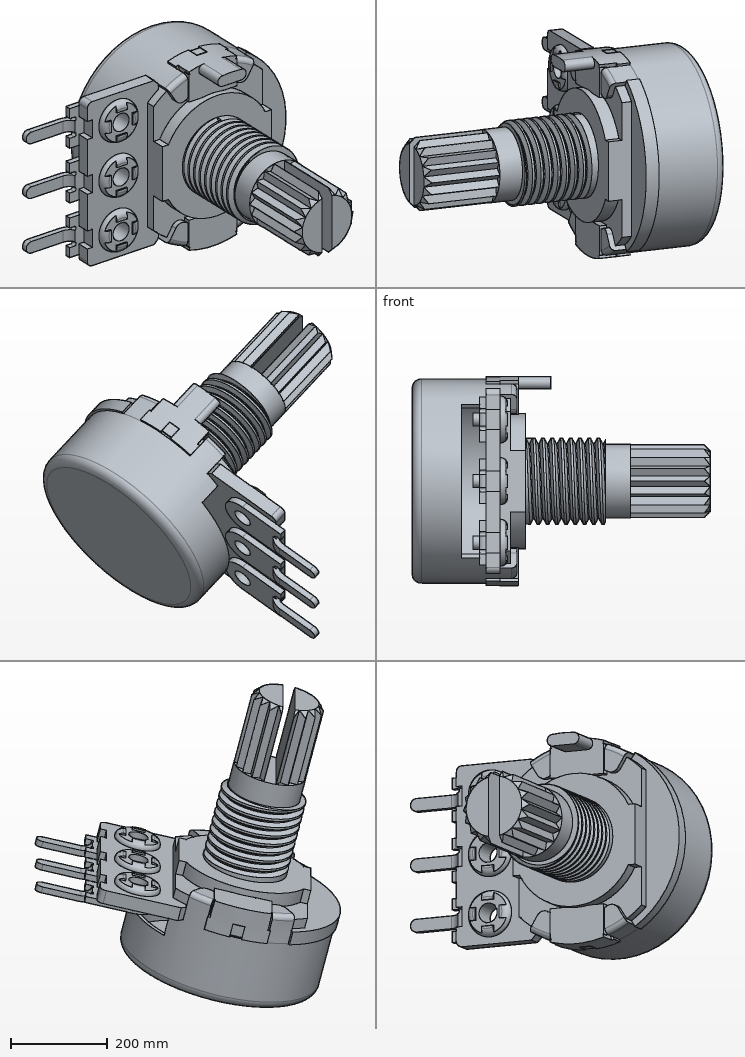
import cadquery as cq
import math


CUP_RADIUS = 210.8
CUP_WALL = 10.2
CUP_INNER_RADIUS = CUP_RADIUS - CUP_WALL
CUP_EDGE_FILLET = 19.05
CUP_DEPTH = 152.4
WINDOW_START_X = 101.6
WINDOW_HALF_ANGLE = 48.6

BOARD_THICKNESS = 29.2
BOARD_FRONT_X = CUP_DEPTH + BOARD_THICKNESS
RIM_RADIUS = 215.9
BOARD_HALF_HEIGHT = 190.5
BOARD_END_Y = -294.0
BOARD_START_Y = -111.5
BOARD_CHAMFER = 11.0
BOARD_FILLET = 12.7
BOARD_NOTCH_WIDTH = 41.7
BOARD_NOTCH_DEPTH = 12.7

TAB_INNER_ANGLE = 18
TAB_OUTER_ANGLE = 32
TAB_FRONT_X = 215.9
TAB_FOLD_INNER_RADIUS = 157.0
TAB_FOLD_FILLET = 11.5
TAB_CORNER_FILLET = 18.0

COVER_FRONT_X = 203.2
COVER_HALF_WIDTH = 139.7
FLANGE_RADIUS = 139.7
FLANGE_FRONT_X = 233.7
FLANGE_FLAT_HEIGHT = 127.0

BRACKET_HALF_ANGLE = TAB_INNER_ANGLE
BRACKET_NECK_HALF_ANGLE = 16.5
BRACKET_FRONT_X = 219.7
BRACKET_LEG_BOTTOM_Z = 137.2
NUB_WIDTH = 25.4
NUB_TOP_Z = 214.6
NUB_GAP = 3.8
LUG_END_X = 285.8
LUG_WIDTH = 72.6
LUG_THICKNESS = 25.9

THREAD_RADIUS = 88.9
THREAD_DEPTH = 11.0
THREAD_PITCH = 19.05
GROOVE_ROOT_WIDTH = 2.5
GROOVE_TOP_WIDTH = 14.0
THREAD_START_X = 241.1
BUSHING_END_X = 398.8

SHAFT_RADIUS = 76.2
SPLINE_START_X = 449.6
SHAFT_END_X = 614.68
SPLINE_COUNT = 18
SPLINE_ROOT_RADIUS = 63.5
SHAFT_CHAMFER = 12.7
SHAFT_SLOT_WIDTH = 25.4

TERMINAL_PITCH = 127.0
TERMINAL_COUNT = 3
TERMINAL_Y = -215.9
TERMINAL_WIDTH = 92.0
TERMINAL_THICKNESS = 13.3
TERMINAL_END_Y = -317.5
TERMINAL_NOTCH_WIDTH = 45.7
TERMINAL_NOTCH_Y = -301.2
PIN_WIDTH = 27.0
PIN_END_Y = -419.1
PIN_BEND_START_Y = -296.5
PIN_BEND_END_Y = -325.1
RIVET_HOLE_DIAMETER = 41.0
RIVET_HEAD_RADIUS = 48.5
RIVET_HEAD_HEIGHT = 15.4
RIVET_HEAD_FILLET = 15.0
PETAL_HEIGHT = 4.0
PETAL_WIDTH = 27.0
PETAL_INNER = 27.5


def x_box(x_start, x_end, y_start, y_end, z_start, z_end):
    """Box given by its limits along each axis."""
    box = cq.Workplane("XY").box(x_end - x_start, y_end - y_start, z_end - z_start, centered=False)
    return box.translate((x_start, y_start, z_start))


def disc(x_start, x_end, radius):
    """Cylinder about the shaft axis, with its seam edge at the top."""
    base = cq.Plane(origin=(x_start, 0, 0), xDir=(0, 0, 1), normal=(1, 0, 0))
    return cq.Workplane(base).circle(radius).extrude(x_end - x_start)


def sector(x_start, x_end, inner_radius, outer_radius, from_angle, to_angle):
    """Ring sector about the shaft axis; angles run from +Y toward +Z."""

    def point(radius, angle):
        turn = math.radians(angle)
        return (radius * math.cos(turn), radius * math.sin(turn))

    middle = (from_angle + to_angle) / 2
    return (
        cq.Workplane("YZ", origin=(x_start, 0, 0))
        .moveTo(*point(inner_radius, from_angle))
        .lineTo(*point(outer_radius, from_angle))
        .threePointArc(point(outer_radius, middle), point(outer_radius, to_angle))
        .lineTo(*point(inner_radius, to_angle))
        .threePointArc(point(inner_radius, middle), point(inner_radius, from_angle))
        .close()
        .extrude(x_end - x_start)
    )


def make_cup():
    """Hollow housing cup with a window in its wall on the terminal side."""
    cup = disc(0, CUP_DEPTH, CUP_RADIUS).faces("<X").edges().fillet(CUP_EDGE_FILLET)
    cup = cup.cut(disc(CUP_WALL, CUP_DEPTH, CUP_INNER_RADIUS))
    window = sector(
        WINDOW_START_X,
        CUP_DEPTH,
        CUP_INNER_RADIUS - CUP_WALL,
        CUP_RADIUS + CUP_WALL,
        180 - WINDOW_HALF_ANGLE,
        180 + WINDOW_HALF_ANGLE,
    )
    return cup.cut(window)


def make_board():
    """Board with a rectangular terminal tail and a raised rim on the far side."""
    tail = (
        x_box(
            CUP_DEPTH, BOARD_FRONT_X, BOARD_END_Y, BOARD_START_Y, -BOARD_HALF_HEIGHT, BOARD_HALF_HEIGHT
        )
        .edges("|X and <Y")
        .fillet(BOARD_FILLET)
        .edges("|X and >Y")
        .chamfer(BOARD_CHAMFER)
    )
    for z in terminal_heights():
        notch = x_box(
            CUP_DEPTH,
            BOARD_FRONT_X,
            BOARD_END_Y,
            BOARD_END_Y + BOARD_NOTCH_DEPTH,
            z - BOARD_NOTCH_WIDTH / 2,
            z + BOARD_NOTCH_WIDTH / 2,
        )
        tail = tail.cut(notch)
    rim_half_angle = 90 - TAB_OUTER_ANGLE
    rim = sector(
        CUP_DEPTH, BOARD_FRONT_X, CUP_INNER_RADIUS, RIM_RADIUS, -rim_half_angle, rim_half_angle
    )
    core_disc = disc(CUP_DEPTH, BOARD_FRONT_X, CUP_INNER_RADIUS)
    kept_span = x_box(
        CUP_DEPTH, BOARD_FRONT_X, BOARD_START_Y, RIM_RADIUS, -RIM_RADIUS, RIM_RADIUS
    )
    return core_disc.intersect(kept_span).union(tail).union(rim)


def make_cover():
    """Flat-sided cover disc and the bushing flange in front of it."""
    cover = disc(BOARD_FRONT_X, COVER_FRONT_X, CUP_INNER_RADIUS)
    strip = x_box(
        BOARD_FRONT_X, COVER_FRONT_X, -COVER_HALF_WIDTH, COVER_HALF_WIDTH, -CUP_RADIUS, CUP_RADIUS
    )
    flange = disc(COVER_FRONT_X, FLANGE_FRONT_X, FLANGE_RADIUS)
    flats = x_box(
        COVER_FRONT_X,
        FLANGE_FRONT_X,
        -FLANGE_RADIUS,
        FLANGE_RADIUS,
        -FLANGE_FLAT_HEIGHT / 2,
        FLANGE_FLAT_HEIGHT / 2,
    )
    return cover.intersect(strip).union(flange).union(flats)


def make_tab(center_angle):
    """Cup wall tab with its end folded inward over the cover."""
    half_span = (TAB_OUTER_ANGLE - TAB_INNER_ANGLE) / 2
    angles = (center_angle - half_span, center_angle + half_span)
    wall = sector(CUP_DEPTH, TAB_FRONT_X, CUP_INNER_RADIUS, CUP_RADIUS, *angles)
    fold = sector(COVER_FRONT_X, TAB_FRONT_X, TAB_FOLD_INNER_RADIUS, CUP_RADIUS, *angles)
    fold_corners = [
        cq.selectors.NearestToPointSelector(
            (
                (COVER_FRONT_X + TAB_FRONT_X) / 2,
                TAB_FOLD_INNER_RADIUS * math.cos(math.radians(angle)),
                TAB_FOLD_INNER_RADIUS * math.sin(math.radians(angle)),
            )
        )
        for angle in angles
    ]
    fold = fold.edges(fold_corners[0] + fold_corners[1]).fillet(TAB_CORNER_FILLET)
    rounded = disc(CUP_DEPTH, TAB_FRONT_X, CUP_RADIUS).faces(">X").edges().fillet(TAB_FOLD_FILLET)
    return wall.union(fold).intersect(rounded)


def make_bracket_end():
    """Upper end of the grounding bracket: rim, neck and leg folded down to the flange."""
    rim = sector(
        CUP_DEPTH,
        BOARD_FRONT_X,
        CUP_INNER_RADIUS,
        RIM_RADIUS,
        90 - BRACKET_HALF_ANGLE,
        90 + BRACKET_HALF_ANGLE,
    )
    neck_angles = (90 - BRACKET_NECK_HALF_ANGLE, 90 + BRACKET_NECK_HALF_ANGLE)
    neck = sector(BOARD_FRONT_X, BRACKET_FRONT_X, CUP_INNER_RADIUS, RIM_RADIUS, *neck_angles)
    leg_half_width = RIM_RADIUS * math.sin(math.radians(BRACKET_NECK_HALF_ANGLE))
    leg = x_box(
        COVER_FRONT_X,
        BRACKET_FRONT_X,
        -leg_half_width,
        leg_half_width,
        BRACKET_LEG_BOTTOM_Z,
        CUP_INNER_RADIUS,
    )
    half_nub = NUB_WIDTH / 2
    nub_relief = x_box(CUP_DEPTH, BOARD_FRONT_X, -half_nub, half_nub, NUB_TOP_Z, RIM_RADIUS)
    gap = x_box(CUP_DEPTH, CUP_DEPTH + NUB_GAP, -half_nub, half_nub, CUP_RADIUS, RIM_RADIUS)
    return rim.union(neck).union(leg).cut(nub_relief).cut(gap)


def make_lug():
    """Round-sided lug that carries the curved top of the bracket forward."""
    bottom_z = RIM_RADIUS - LUG_THICKNESS
    half_flat = (LUG_WIDTH - LUG_THICKNESS) / 2
    side_top_z = math.sqrt(RIM_RADIUS**2 - half_flat**2)
    lug = (
        cq.Workplane("YZ", origin=(BRACKET_FRONT_X, 0, 0))
        .moveTo(-half_flat, bottom_z)
        .lineTo(half_flat, bottom_z)
        .threePointArc(
            (LUG_WIDTH / 2, (bottom_z + side_top_z) / 2), (half_flat, side_top_z)
        )
        .threePointArc((0, RIM_RADIUS), (-half_flat, side_top_z))
        .threePointArc(
            (-LUG_WIDTH / 2, (bottom_z + side_top_z) / 2), (-half_flat, bottom_z)
        )
        .close()
    )
    return lug.extrude(LUG_END_X - BRACKET_FRONT_X)


def make_bushing():
    """Bushing with a right-hand V thread that runs out through its front end."""
    bushing = disc(FLANGE_FRONT_X, BUSHING_END_X, THREAD_RADIUS)
    thread_length = BUSHING_END_X + THREAD_PITCH - THREAD_START_X
    root_radius = THREAD_RADIUS - THREAD_DEPTH
    flank_slope = (GROOVE_TOP_WIDTH - GROOVE_ROOT_WIDTH) / THREAD_DEPTH
    overshoot = THREAD_DEPTH / 4
    outer_half_width = (GROOVE_TOP_WIDTH + flank_slope * overshoot) / 2
    root_half_width = GROOVE_ROOT_WIDTH / 2
    helix = cq.Wire.makeHelix(THREAD_PITCH, thread_length, root_radius)
    groove = (
        cq.Workplane("XZ")
        .polyline(
            [
                (root_radius, -root_half_width),
                (THREAD_RADIUS + overshoot, -outer_half_width),
                (THREAD_RADIUS + overshoot, outer_half_width),
                (root_radius, root_half_width),
            ]
        )
        .close()
        .sweep(cq.Workplane(helix), isFrenet=True)
    )
    thread_frame = cq.Plane(origin=(THREAD_START_X, 0, 0), xDir=(0, 0, 1), normal=(1, 0, 0))
    return bushing.cut(groove.val().moved(thread_frame.location))


def make_shaft():
    """Shaft with pointed splines and a cross slot through the splined length."""
    plain = disc(FLANGE_FRONT_X, SPLINE_START_X, SHAFT_RADIUS)
    star = []
    for step in range(2 * SPLINE_COUNT):
        radius = SHAFT_RADIUS if step % 2 == 0 else SPLINE_ROOT_RADIUS
        turn = math.pi * step / SPLINE_COUNT
        star.append((radius * math.cos(turn), radius * math.sin(turn)))
    splines = (
        cq.Workplane("YZ", origin=(SPLINE_START_X, 0, 0))
        .polyline(star)
        .close()
        .extrude(SHAFT_END_X - SPLINE_START_X)
    )
    envelope = disc(SPLINE_START_X, SHAFT_END_X, SHAFT_RADIUS).faces(">X").chamfer(SHAFT_CHAMFER)
    slot = x_box(
        SPLINE_START_X,
        SHAFT_END_X,
        -SHAFT_SLOT_WIDTH / 2,
        SHAFT_SLOT_WIDTH / 2,
        -SHAFT_RADIUS,
        SHAFT_RADIUS,
    )
    return plain.union(splines.intersect(envelope).cut(slot))


def terminal_heights():
    """Z positions of the evenly spaced terminals."""
    middle = (TERMINAL_COUNT - 1) / 2
    return [(index - middle) * TERMINAL_PITCH for index in range(TERMINAL_COUNT)]


def round_ended_bar(x_start, x_end, square_end_y, round_end_y, width):
    """Flat bar along Y, centered on z = 0, with one square and one fully rounded end."""
    half_width = width / 2
    toward_round_end = math.copysign(1, round_end_y - square_end_y)
    arc_center_y = round_end_y - toward_round_end * half_width
    return (
        cq.Workplane("YZ", origin=(x_start, 0, 0))
        .moveTo(square_end_y, -half_width)
        .lineTo(arc_center_y, -half_width)
        .threePointArc((round_end_y, 0), (arc_center_y, half_width))
        .lineTo(square_end_y, half_width)
        .close()
        .extrude(x_end - x_start)
    )


def make_terminal():
    """Terminal at z = 0: round-ended plate behind the board and an offset pin."""
    plate_back_x = CUP_DEPTH - TERMINAL_THICKNESS
    pin_back_x = plate_back_x - TERMINAL_THICKNESS
    plate = round_ended_bar(
        plate_back_x, CUP_DEPTH, TERMINAL_END_Y, TERMINAL_Y + TERMINAL_WIDTH / 2, TERMINAL_WIDTH
    )
    gap_width = (TERMINAL_NOTCH_WIDTH - PIN_WIDTH) / 2
    gap = round_ended_bar(plate_back_x, CUP_DEPTH, TERMINAL_END_Y, TERMINAL_NOTCH_Y, gap_width)
    gap_offset = (PIN_WIDTH + gap_width) / 2
    throat = x_box(
        plate_back_x,
        CUP_DEPTH,
        TERMINAL_END_Y,
        TERMINAL_NOTCH_Y,
        -PIN_WIDTH / 2,
        PIN_WIDTH / 2,
    )
    plate = plate.cut(throat)
    for side in (-1, 1):
        plate = plate.cut(gap.translate((0, 0, side * gap_offset)))

    bend_length = PIN_BEND_START_Y - PIN_BEND_END_Y
    outer_bend_radius = (TERMINAL_THICKNESS**2 + bend_length**2) / (2 * TERMINAL_THICKNESS)
    inner_bend_radius = outer_bend_radius - TERMINAL_THICKNESS
    inner_bend_length = math.sqrt(inner_bend_radius**2 - (inner_bend_radius - TERMINAL_THICKNESS) ** 2)
    root_y = TERMINAL_NOTCH_Y + TERMINAL_THICKNESS
    pin = (
        cq.Workplane("XY", origin=(0, 0, -PIN_WIDTH / 2))
        .moveTo(plate_back_x, root_y)
        .lineTo(plate_back_x, PIN_BEND_START_Y)
        .radiusArc((pin_back_x, PIN_BEND_END_Y), -outer_bend_radius)
        .lineTo(pin_back_x, PIN_END_Y)
        .lineTo(plate_back_x, PIN_END_Y)
        .lineTo(plate_back_x, PIN_BEND_END_Y)
        .radiusArc((CUP_DEPTH, PIN_BEND_END_Y + inner_bend_length), inner_bend_radius)
        .lineTo(CUP_DEPTH, root_y)
        .close()
        .extrude(PIN_WIDTH)
    )
    pin_outline = round_ended_bar(pin_back_x, CUP_DEPTH, root_y, PIN_END_Y, PIN_WIDTH)
    return plate.union(pin.intersect(pin_outline))


def make_rivet():
    """Domed rivet head at z = 0, recessed around four raised petals at its rim."""

    def head_disc(height):
        base = cq.Plane(origin=(BOARD_FRONT_X, TERMINAL_Y, 0), xDir=(0, 0, 1), normal=(1, 0, 0))
        return cq.Workplane(base).circle(RIVET_HEAD_RADIUS).extrude(height)

    dome = head_disc(RIVET_HEAD_HEIGHT).faces(">X").edges().fillet(RIVET_HEAD_FILLET)
    petal = x_box(
        BOARD_FRONT_X,
        BOARD_FRONT_X + RIVET_HEAD_HEIGHT,
        TERMINAL_Y + PETAL_INNER,
        TERMINAL_Y + RIVET_HEAD_RADIUS,
        -PETAL_WIDTH / 2,
        PETAL_WIDTH / 2,
    )
    kept = head_disc(RIVET_HEAD_HEIGHT - PETAL_HEIGHT)
    for angle in range(0, 360, 90):
        kept = kept.union(petal.rotate((0, TERMINAL_Y, 0), (1, TERMINAL_Y, 0), angle))
    return dome.intersect(kept)


def make_rivet_hole():
    """Bore at z = 0 through the terminal, the board and the rivet head."""
    start_x = CUP_DEPTH - TERMINAL_THICKNESS
    end_x = BOARD_FRONT_X + RIVET_HEAD_HEIGHT
    return (
        cq.Workplane("YZ", origin=(start_x, TERMINAL_Y, 0))
        .circle(RIVET_HOLE_DIAMETER / 2)
        .extrude(end_x - start_x)
    )


body = make_cup().union(make_board()).union(make_cover())

tab_center = (TAB_INNER_ANGLE + TAB_OUTER_ANGLE) / 2
for vertical in (90, 270):
    for side in (-1, 1):
        body = body.union(make_tab(vertical + side * tab_center))

bracket_end = make_bracket_end()
body = body.union(bracket_end).union(bracket_end.mirror("XY")).union(make_lug())
body = body.union(make_shaft()).union(make_bushing())

terminal = make_terminal().union(make_rivet())
for height in terminal_heights():
    body = body.union(terminal.translate((0, 0, height)))
    body = body.cut(make_rivet_hole().translate((0, 0, height)))

result = body.clean()